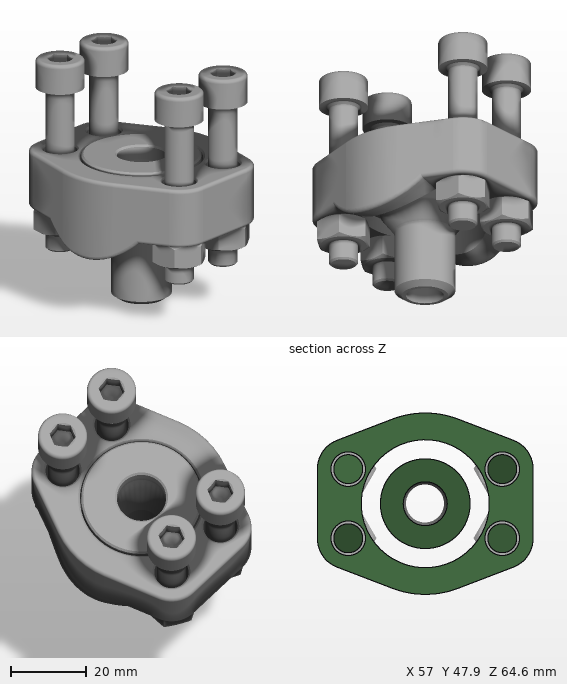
import cadquery as cq
import math


bolt_x = 20.3
bolt_y = 9.1
mid_radius = 23.95
corner_radius = 8.2
plate_thickness = 16.0
rim_fillet = 1.0
edge_chamfer = 0.5
seat_diameter = 32.5
seat_depth = 8.0
neck_bore_diameter = 24.7
recess_diameter = 33.6
recess_height = 4.0
bolt_hole_diameter = 9.0
lobe_radius = 22.7
lobe_taper = 10

collar_diameter = 31.7
collar_stand = 0.6
neck_diameter = 23.8
pipe_diameter = 16.0
neck_end = -16.35
pipe_start = -21.45
pipe_end = -39.4
neck_fillet = 0.85
weld_bevel_radial = 1.9
weld_bevel_height = 1.3
mouth_diameter = 13.0
bore_diameter = 10.0
mouth_depth = 4.0

shank_diameter = 7.75
shank_length = 45.0
shank_chamfer = 0.5
head_diameter = 13.0
head_height = 8.1
head_top = 25.2
head_fillet = 1.0
head_collar_diameter = 9.0
head_collar_height = 0.65
socket_width = 6.0
socket_depth = 4.5
socket_turn = 37
socket_tip_angle = 120
socket_chamfer_diameter = 7.05
nut_width = 13.0
nut_height = 6.5
nut_chamfer_angle = 30
nut_face_ratio = 0.95

bolt_places = [(x, y) for x in (-bolt_x, bolt_x) for y in (-bolt_y, bolt_y)]
hex_ratio = 2 / math.sqrt(3)


def flange_outline():
    """Closed outline: end arcs about the pipe axis, corner arcs about the bolts, common tangents."""
    bolt_distance = math.hypot(bolt_x, bolt_y)
    bolt_angle = math.atan2(bolt_y, bolt_x)
    tangent_angle = bolt_angle + math.acos((mid_radius - corner_radius) / bolt_distance)
    half_angle = tangent_angle / 2

    def on_end(angle, side_x, side_y):
        return side_x * mid_radius * math.cos(angle), side_y * mid_radius * math.sin(angle)

    def on_corner(angle, side_x, side_y):
        x = bolt_x + corner_radius * math.cos(angle)
        y = bolt_y + corner_radius * math.sin(angle)
        return side_x * x, side_y * y

    return (
        cq.Workplane("XY")
        .moveTo(*on_corner(0, 1, -1))
        .lineTo(*on_corner(0, 1, 1))
        .threePointArc(on_corner(half_angle, 1, 1), on_corner(tangent_angle, 1, 1))
        .lineTo(*on_end(tangent_angle, 1, 1))
        .threePointArc((0, mid_radius), on_end(tangent_angle, -1, 1))
        .lineTo(*on_corner(tangent_angle, -1, 1))
        .threePointArc(on_corner(half_angle, -1, 1), on_corner(0, -1, 1))
        .lineTo(*on_corner(0, -1, -1))
        .threePointArc(on_corner(half_angle, -1, -1), on_corner(tangent_angle, -1, -1))
        .lineTo(*on_end(tangent_angle, -1, -1))
        .threePointArc((0, -mid_radius), on_end(tangent_angle, 1, -1))
        .lineTo(*on_corner(tangent_angle, 1, -1))
        .threePointArc(on_corner(half_angle, 1, -1), on_corner(0, 1, -1))
        .close()
    )


def lobes():
    """Waisted round bar along Y, cut to the flange outline below the upper half of the plate."""
    waist_radius = lobe_radius - mid_radius * math.tan(math.radians(lobe_taper))
    bar = (
        cq.Workplane("XY")
        .moveTo(0, -mid_radius)
        .lineTo(lobe_radius, -mid_radius)
        .lineTo(waist_radius, 0)
        .lineTo(lobe_radius, mid_radius)
        .lineTo(0, mid_radius)
        .close()
        .revolve(360, (0, 0), (0, 1))
    )
    envelope = flange_outline().extrude(-lobe_radius).translate((0, 0, -plate_thickness / 2))
    return bar.intersect(envelope)


def is_side_wall(face):
    """True for the upright faces that the flange outline sweeps."""
    return face.geomType() in ("PLANE", "CYLINDER") and abs(face.normalAt().z) < 0.01


def lower_rim(body):
    """Edges where the side walls end at the plate's underside and at the lobes."""
    walls = [face for face in body.faces().vals() if is_side_wall(face)]
    rim = []
    for edge in body.edges().vals():
        touching = [wall for wall in walls if any(edge.isSame(other) for other in wall.Edges())]
        if len(touching) == 1 and edge.Center().z <= 0.005 - plate_thickness:
            rim.append(edge)
    return body.newObject(rim)


def disc(diameter, top, bottom):
    """Cylinder on the Z axis between two heights."""
    return cq.Workplane("XY").workplane(offset=bottom).circle(diameter / 2).extrude(top - bottom)


def countersink(diameter):
    """Cone that puts the small edge chamfer on a bore in the flange's upper face."""
    radius = diameter / 2
    return cq.Workplane("XY").add(
        cq.Solid.makeCone(radius, radius + edge_chamfer, edge_chamfer, pnt=(0, 0, -edge_chamfer))
    )


def make_flange_bore():
    """Space for the stub: chamfered seat, neck bore and lower recess, turned about the Z axis."""
    seat, neck, recess = seat_diameter / 2, neck_bore_diameter / 2, recess_diameter / 2
    recess_top = recess_height - plate_thickness
    return (
        cq.Workplane("XZ")
        .lineTo(seat + edge_chamfer, 0)
        .lineTo(seat, -edge_chamfer)
        .lineTo(seat, -seat_depth)
        .lineTo(neck, -seat_depth)
        .lineTo(neck, recess_top)
        .lineTo(recess, recess_top)
        .lineTo(recess, pipe_end)
        .lineTo(0, pipe_end)
        .close()
        .revolve(360, (0, 0), (0, 1))
    )


def make_flange():
    body = flange_outline().extrude(-plate_thickness).union(lobes())
    body = body.faces(">Z").edges().fillet(rim_fillet)
    body = lower_rim(body).fillet(rim_fillet)
    body = body.cut(make_flange_bore())
    hole = disc(bolt_hole_diameter, 0, -plate_thickness).union(countersink(bolt_hole_diameter))
    for x, y in bolt_places:
        body = body.cut(hole.translate((x, y, 0)))
    return body


def make_neck_and_pipe():
    """Neck tapering to the pipe, both ends of the taper rounded, with a weld bevel at the pipe's end."""
    neck, pipe = neck_diameter / 2, pipe_diameter / 2
    body = (
        cq.Workplane("XZ")
        .moveTo(0, -seat_depth)
        .lineTo(neck, -seat_depth)
        .lineTo(neck, neck_end)
        .lineTo(pipe, pipe_start)
        .lineTo(pipe, pipe_end + weld_bevel_height)
        .lineTo(pipe - weld_bevel_radial, pipe_end)
        .lineTo(0, pipe_end)
        .close()
        .revolve(360, (0, 0), (0, 1))
    )
    taper_ends = cq.selectors.BoxSelector((-neck, -neck, pipe_start - 0.65), (neck, neck, neck_end + 0.65))
    return body.edges(taper_ends).fillet(neck_fillet)


def make_channel():
    """Bore of the stub: chamfered mouth, then a taper down to the pipe's bore."""
    mouth, bore = mouth_diameter / 2, bore_diameter / 2
    return (
        cq.Workplane("XZ")
        .moveTo(0, collar_stand)
        .lineTo(mouth + edge_chamfer, collar_stand)
        .lineTo(mouth, collar_stand - edge_chamfer)
        .lineTo(mouth, collar_stand - mouth_depth)
        .lineTo(bore, pipe_start)
        .lineTo(bore, pipe_end)
        .lineTo(0, pipe_end)
        .close()
        .revolve(360, (0, 0), (0, 1))
    )


def make_stub():
    collar = disc(collar_diameter, collar_stand, -seat_depth).faces(">Z").chamfer(edge_chamfer)
    return collar.union(make_neck_and_pipe()).cut(make_channel())


def make_screw():
    """Hexagon socket cap screw on the Z axis."""
    seat = head_top - head_height
    head = disc(head_diameter, head_top, seat).faces(">Z").edges().fillet(head_fillet)
    shank = disc(shank_diameter, seat, seat - shank_length).faces("<Z").chamfer(shank_chamfer)
    transition = cq.Workplane("XY").add(
        cq.Solid.makeCone(shank_diameter / 2, head_collar_diameter / 2, head_collar_height,
                          pnt=(0, 0, seat - head_collar_height))
    )
    floor = head_top - socket_depth
    socket = (
        cq.Workplane("XY", origin=(0, 0, floor))
        .polygon(6, socket_width * hex_ratio)
        .extrude(socket_depth)
        .rotate((0, 0, 0), (0, 0, 1), socket_turn)
    )
    tip_radius = socket_width / 2
    tip_depth = tip_radius / math.tan(math.radians(socket_tip_angle / 2))
    tip = cq.Workplane("XY").add(cq.Solid.makeCone(0, tip_radius, tip_depth, pnt=(0, 0, floor - tip_depth)))
    lead_radius = socket_chamfer_diameter / 2
    lead_depth = lead_radius / math.tan(math.radians(socket_tip_angle / 2))
    lead = cq.Workplane("XY").add(
        cq.Solid.makeCone(0, lead_radius, lead_depth, pnt=(0, 0, head_top - lead_depth))
    )
    return head.union(shank).union(transition).cut(socket).cut(tip).cut(lead)


def make_nut():
    """Hexagon nut under the plate, both faces chamfered by cones."""
    corner = nut_width * hex_ratio / 2
    flat = nut_width / 2 * nut_face_ratio
    drop = (corner - flat) * math.tan(math.radians(nut_chamfer_angle))
    top = -plate_thickness
    bottom = top - nut_height
    blank = (
        cq.Workplane("XY", origin=(0, 0, bottom)).polygon(6, 2 * corner).extrude(nut_height)
    )
    turned = (
        cq.Workplane("XZ")
        .moveTo(0, top)
        .lineTo(flat, top)
        .lineTo(corner, top - drop)
        .lineTo(corner, bottom + drop)
        .lineTo(flat, bottom)
        .lineTo(0, bottom)
        .close()
        .revolve(360, (0, 0), (0, 1))
    )
    return blank.intersect(turned).cut(disc(shank_diameter, top, bottom))


flange = make_flange()
stub = make_stub()
screw = make_screw()
nut = make_nut()
screws = [screw.translate((x, y, 0)).val() for x, y in bolt_places]
nuts = [nut.translate((x, y, 0)).val() for x, y in bolt_places]

result = cq.Compound.makeCompound([flange.val(), stub.val(), *screws, *nuts])